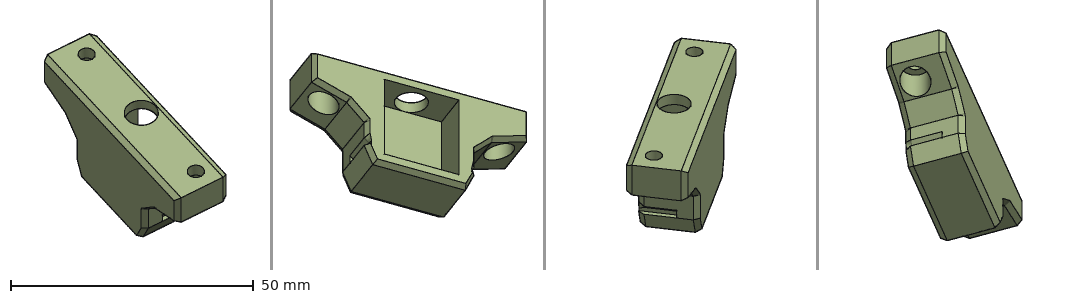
import cadquery as cq
import math

width = 49.0
depth = 13.0
height = 24.0

bevel_depth = 1.3
bevel_angle = 30.0
bevel_inset = bevel_depth * math.tan(math.radians(bevel_angle))

arm_end_x = width / 2
arm_end_z = 16.65
shoulder_x = 16.5
shoulder_z = 14.0
waist_x = 12.5
waist_z = 10.1
foot_top_z = 4.3
foot_x = 10.55

hole_y = 1.5
center_hole_dia = 7.0
screw_hole_dia = 3.5
screw_head_dia = 6.4
screw_x = 20.0
screw_seat_thickness = 3.0

pocket_width = 17.0
roof_thickness = 2.5
floor_thickness = 2.5
pocket_front_y = hole_y - center_hole_dia / 2

notch_depth = 1.1
notch_wall_height = 0.95
notch_mouth_height = 1.9
notch_front_y = hole_y - screw_head_dia / 2

back_y = depth / 2
back_bevel_y = back_y - bevel_depth
front_bevel_y = -back_bevel_y

notch_back_wall_height = 0.65
notch_back_mouth_height = 2.5


def outline(y):
    """Closed outline in an XZ plane at the given Y; the plane normal points toward -Y."""
    right_half = [
        (foot_x, 0),
        (waist_x, foot_top_z),
        (waist_x, waist_z),
        (shoulder_x, shoulder_z),
        (arm_end_x, arm_end_z),
        (arm_end_x, height),
    ]
    left_half = [(-x, z) for x, z in reversed(right_half)]
    return cq.Workplane("XZ", origin=(0, y, 0)).polyline(right_half + left_half).close()


def make_body():
    core = outline(back_bevel_y).extrude(back_bevel_y - front_bevel_y)
    front = outline(front_bevel_y).extrude(bevel_depth, taper=bevel_angle)
    back = front.mirror("XZ")
    return core.union(front).union(back)


def cylinder(diameter, x, bottom_z, top_z):
    """Upright cutter on the line of holes."""
    base = cq.Workplane("XY", origin=(x, hole_y, bottom_z))
    return base.circle(diameter / 2).extrude(top_z - bottom_z)


def make_pocket():
    pocket_height = height - roof_thickness - floor_thickness
    pocket_depth = back_y - pocket_front_y
    block = cq.Workplane("XY").box(
        pocket_width, pocket_depth, pocket_height, centered=(True, False, False)
    )
    return block.translate((0, pocket_front_y, floor_thickness))


def notch_profile(y, mouth_x, mouth_height, wall_height):
    """Four-sided notch section at the given Y, on the -X side."""
    inner_x = -waist_x + notch_depth
    points = [
        (mouth_x, foot_top_z),
        (inner_x, foot_top_z),
        (inner_x, foot_top_z + wall_height),
        (mouth_x, foot_top_z + mouth_height),
    ]
    return cq.Wire.makePolygon([cq.Vector(x, y, z) for x, z in points], close=True)


def make_notch():
    mouth_x = -waist_x
    front = notch_profile(notch_front_y, mouth_x, notch_mouth_height, notch_wall_height)
    middle = notch_profile(back_bevel_y, mouth_x, notch_mouth_height, notch_wall_height)
    back = notch_profile(
        back_y, mouth_x + bevel_inset, notch_back_mouth_height, notch_back_wall_height
    )
    straight_part = cq.Workplane(cq.Solid.makeLoft([front, middle], True))
    bevel_part = cq.Workplane(cq.Solid.makeLoft([middle, back], True))
    return straight_part.union(bevel_part)


result = make_body()
result = result.cut(make_pocket())
result = result.cut(cylinder(center_hole_dia, 0, height - roof_thickness, height))

for x in (-screw_x, screw_x):
    result = result.cut(cylinder(screw_hole_dia, x, 0, height))
    result = result.cut(cylinder(screw_head_dia, x, 0, height - screw_seat_thickness))

left_notch = make_notch()
result = result.cut(left_notch).cut(left_notch.mirror("YZ"))